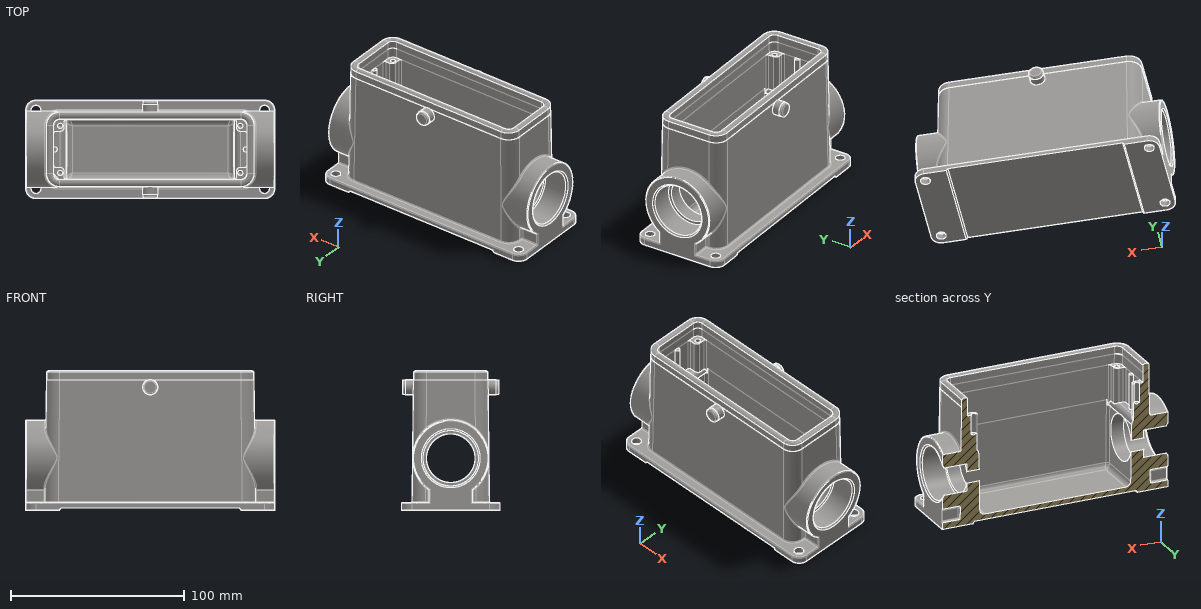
import cadquery as cq
import math

FLANGE_X = 144.0
FLANGE_Y = 57.0
FLANGE_TOP = 4.5
FLANGE_CORNER_RADIUS = 6.0
FLANGE_EDGE_RADIUS = 0.6
MOUNT_HOLE_DIAMETER = 5.6
MOUNT_HOLE_X = 66.0
MOUNT_HOLE_Y = 22.6
RELIEF_DEPTH = 1.3
RELIEF_TOP_X = 103.0
RELIEF_BOTTOM_X = RELIEF_TOP_X + 2.0

TOTAL_HEIGHT = 80.8
RIM_BOTTOM = 75.2
RIM_X = 119.8
RIM_Y = 43.0
RIM_CORNER = 7.6
RIM_CROWN = 0.9
CROWN_BOTTOM = TOTAL_HEIGHT - RIM_CROWN
WALL = 4.0

BODY_DRAFT = 0.67
RIM_STEP = 0.1
BODY_CORNER = 7.7
BODY_SPREAD = RIM_STEP + RIM_BOTTOM * math.tan(math.radians(BODY_DRAFT))
BODY_BASE_X = RIM_X + 2 * BODY_SPREAD
BODY_BASE_Y = RIM_Y + 2 * BODY_SPREAD
FOOT_RADIUS = 0.6

MOUTH_X = RIM_X - 2 * WALL
MOUTH_Y = RIM_Y - 2 * WALL
MOUTH_CORNER = RIM_CORNER - WALL
POST_TOP = 69.0
COLLAR_DRAFT = 1.0
COLLAR_NARROWING = (RIM_BOTTOM - POST_TOP) * math.tan(math.radians(COLLAR_DRAFT))
CHAMBER_X = MOUTH_X - 2 * COLLAR_NARROWING
CHAMBER_Y = MOUTH_Y - 2 * COLLAR_NARROWING
CHAMBER_CORNER = MOUTH_CORNER - COLLAR_NARROWING
SHELF_Z = 47.2
SHELF_EDGE_RADIUS = 3.4
FLOOR_Z = 5.0
WELL_X = 97.4
WELL_Y = CHAMBER_Y
WELL_DRAFT = 1.0
WELL_CORNER = 1.5
FLOOR_FILLET = 3.1
FLOOR_X = WELL_X - 2 * (SHELF_Z - FLOOR_Z) * math.tan(math.radians(WELL_DRAFT)) - 2 * FLOOR_FILLET

POST_INNER_X = 49.7
POST_INNER_Y = 10.4
POST_CORNER_RADIUS = 2.4
POST_BLEND_RADIUS = 1.2
POST_HOLE_X = 52.0
POST_HOLE_Y = 13.6
POST_HOLE_DIAMETER = 3.0
POST_HOLE_DEPTH = 12.0
DRILL_POINT_ANGLE = 118.0

RIB_DIAMETER = 3.0
RIB_X = 55.2

PORT_Z = 30.1
PORT_DIAMETER = 44.1
PORT_EDGE_RADIUS = 0.5
ROOT_RADIUS = 0.7
PORT_BORE_DIAMETER = 28.0
COUNTERBORE_DIAMETER = 32.0
COUNTERBORE_DEPTH = 15.4
PORT_CHAMFER = 1.0
PEDESTAL_WIDTH = 25.0

STUD_Z = 71.1
STUD_DIAMETER = 8.8
STUD_SHOULDER_Y = 26.0
STUD_TIP_DIAMETER = 8.5
STUD_TIP_Y = 28.0
STUD_TIP_RADIUS = 0.8

END_X = FLANGE_X / 2
EMBED = 1.0


def rounded_block(length, width, radius, bottom, top):
    block = cq.Workplane("XY", origin=(0, 0, bottom)).rect(length, width).extrude(top - bottom)
    return block.edges("|Z").fillet(radius)


def block_narrowing_down(length, width, radius, bottom, top, draft):
    """Rounded block whose given size is at its top; it narrows downwards by the draft angle."""
    block = cq.Workplane("XY", origin=(0, 0, top)).rect(length, width)
    block = block.extrude(bottom - top, taper=draft)
    return block.edges("not #Z").fillet(radius)


def box_selector(x_range, half_width, z_range):
    """Selector of edges centred within a box that is symmetric about the XZ plane."""
    lower = (x_range[0], -half_width, z_range[0])
    upper = (x_range[1], half_width, z_range[1])
    return cq.selectors.BoxSelector(lower, upper)


def edges_at_both_ends(shape, x_range, half_width, z_range):
    """Edges centred within a box on the +X end or within its mirror image on the -X end."""
    right = box_selector(x_range, half_width, z_range)
    left = box_selector((-x_range[1], -x_range[0]), half_width, z_range)
    return shape.edges(right + left)


def both_ends(shape):
    """The shape together with its mirror image across the YZ plane."""
    return shape.union(shape.mirror("YZ"))


def both_sides(shape):
    """The shape together with its mirror image across the XZ plane."""
    return shape.union(shape.mirror("XZ"))


def x_cylinder(diameter, start, end):
    """Cylinder on the port axis from x = start to x = end."""
    plane = cq.Workplane("YZ", origin=(start, 0, PORT_Z))
    return plane.circle(diameter / 2).extrude(end - start)


def make_flange():
    flange = rounded_block(FLANGE_X, FLANGE_Y, FLANGE_CORNER_RADIUS, 0, FLANGE_TOP)
    return flange.faces(">Z").edges().fillet(FLANGE_EDGE_RADIUS)


def make_body():
    body = cq.Workplane("XY").rect(BODY_BASE_X, BODY_BASE_Y).extrude(RIM_BOTTOM, taper=BODY_DRAFT)
    return body.edges("not #Z").fillet(BODY_CORNER)


def make_port():
    """Solid cable port on the +X end, with the pedestal that carries it."""
    start = WELL_X / 2 + EMBED
    barrel = x_cylinder(PORT_DIAMETER, start, END_X)
    pedestal = cq.Workplane("XY").box(END_X - start, PEDESTAL_WIDTH, PORT_Z, centered=(False, True, False))
    port = barrel.union(pedestal.translate((start, 0, 0)))
    return port.faces(">X").edges("not <Z").fillet(PORT_EDGE_RADIUS)


def make_rim():
    """Upright rim with a crowned top edge; the crown is an arc swept round the wall."""
    rim = rounded_block(RIM_X, RIM_Y, RIM_CORNER, RIM_BOTTOM, CROWN_BOTTOM)
    centre_x = RIM_X - WALL
    centre_y = RIM_Y - WALL
    path = rounded_block(centre_x, centre_y, RIM_CORNER - WALL / 2, CROWN_BOTTOM, TOTAL_HEIGHT)
    path = path.faces("<Z").wires().toPending()
    section = (
        cq.Workplane("YZ", origin=(0, -centre_y / 2, CROWN_BOTTOM))
        .moveTo(-WALL / 2, 0)
        .threePointArc((0, RIM_CROWN), (WALL / 2, 0))
        .close()
    )
    return rim.union(section.sweep(path))


def make_cavity():
    """Space inside the body, including the shelves at both ends of the well."""
    mouth = rounded_block(MOUTH_X, MOUTH_Y, MOUTH_CORNER, RIM_BOTTOM, TOTAL_HEIGHT)
    collar = block_narrowing_down(MOUTH_X, MOUTH_Y, MOUTH_CORNER, POST_TOP, RIM_BOTTOM, COLLAR_DRAFT)
    chamber = rounded_block(CHAMBER_X, CHAMBER_Y, CHAMBER_CORNER, SHELF_Z, POST_TOP)
    well = block_narrowing_down(WELL_X, WELL_Y, WELL_CORNER, FLOOR_Z, SHELF_Z, WELL_DRAFT)
    well = well.faces("<Z").edges().fillet(FLOOR_FILLET)
    return mouth.union(collar).union(chamber).union(well)


def make_shelf_rounding():
    """Material removed to round the long edge of the +X shelf."""
    edge_x = WELL_X / 2
    radius = SHELF_EDGE_RADIUS
    return (
        cq.Workplane("XZ", origin=(0, CHAMBER_Y / 2, 0))
        .moveTo(edge_x - EMBED, SHELF_Z)
        .lineTo(edge_x + radius, SHELF_Z)
        .radiusArc((edge_x, SHELF_Z - radius), -radius)
        .lineTo(edge_x - EMBED, SHELF_Z - radius)
        .close()
        .extrude(CHAMBER_Y)
    )


def make_post():
    """Corner post in the +X +Y corner, blended into both cavity walls, with a screw hole."""
    wall_x = CHAMBER_X / 2
    wall_y = CHAMBER_Y / 2
    blend = POST_BLEND_RADIUS
    bottom = SHELF_Z - SHELF_EDGE_RADIUS
    post = (
        cq.Workplane("XY", origin=(0, 0, bottom))
        .moveTo(wall_x + EMBED, POST_INNER_Y - blend)
        .lineTo(wall_x, POST_INNER_Y - blend)
        .radiusArc((wall_x - blend, POST_INNER_Y), -blend)
        .lineTo(POST_INNER_X + POST_CORNER_RADIUS, POST_INNER_Y)
        .radiusArc((POST_INNER_X, POST_INNER_Y + POST_CORNER_RADIUS), POST_CORNER_RADIUS)
        .lineTo(POST_INNER_X, wall_y - blend)
        .radiusArc((POST_INNER_X - blend, wall_y), -blend)
        .lineTo(POST_INNER_X - blend, wall_y + EMBED)
        .lineTo(wall_x + EMBED, wall_y + EMBED)
        .close()
        .extrude(POST_TOP - bottom)
    )
    return post.cut(make_post_hole())


def make_post_hole():
    radius = POST_HOLE_DIAMETER / 2
    point = radius / math.tan(math.radians(DRILL_POINT_ANGLE / 2))
    hole = (
        cq.Workplane("XZ")
        .lineTo(0, -POST_HOLE_DEPTH - point)
        .lineTo(radius, -POST_HOLE_DEPTH)
        .lineTo(radius, 0)
        .close()
        .revolve(360, (0, 0, 0), (0, 1, 0))
    )
    return hole.translate((POST_HOLE_X, POST_HOLE_Y, POST_TOP))


def make_rib():
    rib = cq.Workplane("XY", origin=(RIB_X, 0, SHELF_Z - EMBED))
    return rib.circle(RIB_DIAMETER / 2).extrude(POST_TOP - SHELF_Z + EMBED)


def make_port_bore():
    """Bore into the well, counterbore and entry chamfer of the +X port."""
    bore = x_cylinder(PORT_BORE_DIAMETER, FLOOR_X / 2, END_X)
    counterbore = x_cylinder(COUNTERBORE_DIAMETER, END_X - COUNTERBORE_DEPTH, END_X)
    radius = COUNTERBORE_DIAMETER / 2
    entry = cq.Solid.makeCone(
        radius + PORT_CHAMFER,
        radius,
        PORT_CHAMFER,
        cq.Vector(END_X, 0, PORT_Z),
        cq.Vector(-1, 0, 0),
    )
    return bore.union(counterbore).union(cq.Workplane(entry))


def make_stud():
    """Locking stud on the +Y side, slightly turned down near its rounded tip."""
    start = MOUTH_Y / 2 + EMBED
    plane = cq.Workplane("XZ", origin=(0, start, STUD_Z))
    shank = plane.circle(STUD_DIAMETER / 2).extrude(start - STUD_SHOULDER_Y)
    tip = plane.circle(STUD_TIP_DIAMETER / 2).extrude(start - STUD_TIP_Y)
    tip = tip.faces(">Y").edges().fillet(STUD_TIP_RADIUS)
    return shank.union(tip)


def make_relief():
    """Shallow recess across the underside of the flange."""
    return (
        cq.Workplane("XZ", origin=(0, FLANGE_Y / 2, 0))
        .moveTo(-RELIEF_BOTTOM_X / 2, 0)
        .lineTo(RELIEF_BOTTOM_X / 2, 0)
        .lineTo(RELIEF_TOP_X / 2, RELIEF_DEPTH)
        .lineTo(-RELIEF_TOP_X / 2, RELIEF_DEPTH)
        .close()
        .extrude(FLANGE_Y)
    )


def make_mount_holes():
    holes = cq.Workplane("XY").rect(2 * MOUNT_HOLE_X, 2 * MOUNT_HOLE_Y, forConstruction=True)
    return holes.vertices().circle(MOUNT_HOLE_DIAMETER / 2).extrude(FLANGE_TOP)


def make_shell():
    """Solid body, ports and flange with the blends where they meet."""
    shell = make_body().union(both_ends(make_port()))
    radius = PORT_DIAMETER / 2
    end_wall = (BODY_BASE_X / 2 - BODY_CORNER, BODY_BASE_X / 2)

    barrel_range = (PORT_Z - radius / 2, PORT_Z + radius)
    shell = edges_at_both_ends(shell, end_wall, radius - EMBED, barrel_range).fillet(ROOT_RADIUS)

    shell = shell.union(make_flange())
    pedestal_range = (FLANGE_TOP + EMBED, PORT_Z - radius / 2)
    pedestal_half = PEDESTAL_WIDTH / 2 + EMBED / 2
    shell = edges_at_both_ends(shell, end_wall, pedestal_half, pedestal_range).fillet(ROOT_RADIUS)

    level = (FLANGE_TOP - EMBED / 10, FLANGE_TOP + EMBED / 10)
    inside_flange = (EMBED - END_X, END_X - EMBED)
    foot = shell.edges(box_selector(inside_flange, BODY_BASE_Y / 2, level))
    return foot.fillet(FOOT_RADIUS)


result = make_shell().union(make_rim())
result = result.cut(make_cavity()).cut(both_ends(make_shelf_rounding()))
result = result.union(both_sides(both_ends(make_post())))
result = result.union(both_ends(make_rib()))
result = result.cut(both_ends(make_port_bore()))
result = result.union(both_sides(make_stud()))
result = result.cut(make_relief()).cut(make_mount_holes())